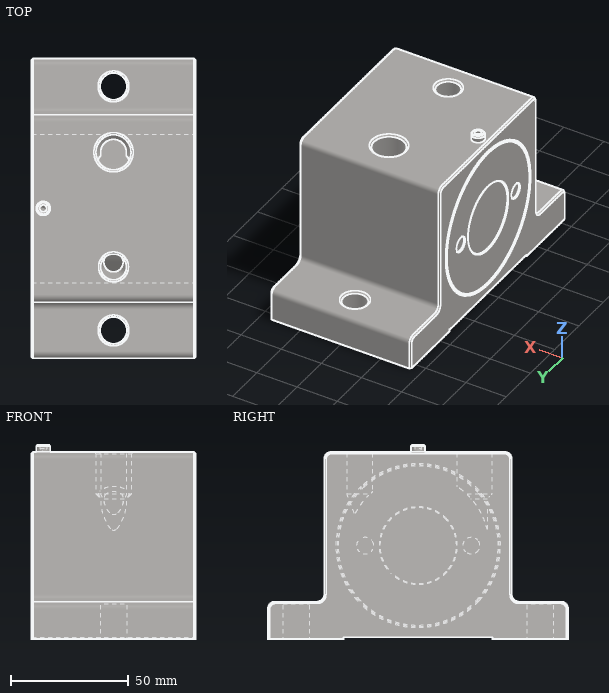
import cadquery as cq
import math

width = 70.0
foot_length = 128
foot_height = 16.0
body_width = 80.0
body_height = 79.9
corner_radius = 3.1
side_chamfer = 0.8
relief_length = 63.4
relief_depth = 0.8

axis_height = body_width / 2
cover_diameter = 69.1
cover_groove_depth = 0.5
plug_diameter = 32.5
plug_rim_diameter = 33.3
plug_recess = 0.4
pin_hole_diameter = 7.2
pin_hole_spacing = 45.3
pin_hole_depth = 0.6

mount_diameter = 11.4
mount_spacing = 104.0
rim_chamfer = 0.9
port_depth = 17.9
rotor_diameter = 60.3
outlet_y = 24.0
outlet_diameter = 15.0
outlet_inner_diameter = 11.0
inlet_y = -25.0
inlet_diameter = 11.0
inlet_taper_angle = 21

total_height = 83.0
nipple_x = -30.0
nipple_diameter = 6.0
nipple_top_diameter = 4.9
nipple_chamfer_height = 0.8
nipple_bore_diameter = 3.0
nipple_bore_depth = 1.5
nipple_root_depth = 0.8

left_x = -width / 2


def block_between(length, bottom, top):
    """Full-width box centred on Y, between two heights."""
    return cq.Workplane("XY", origin=(0, 0, bottom)).box(
        width, length, top - bottom, centered=(True, True, False)
    )


def revolved_z(x, y, profile):
    """Solid of revolution about a vertical axis from (radius, height) points."""
    return (
        cq.Workplane("XZ", origin=(x, y, 0))
        .polyline(profile)
        .close()
        .revolve(360, (0, 0, 0), (0, 1, 0))
    )


def revolved_cover_cut(profile):
    """Solid of revolution about the cover axis from (radius, depth) points."""
    return (
        cq.Workplane("XY", origin=(left_x, 0, axis_height))
        .polyline([(depth, radius) for radius, depth in profile])
        .close()
        .revolve(360, (0, 0, 0), (1, 0, 0))
    )


def make_block():
    block = block_between(foot_length, 0, foot_height).union(
        block_between(body_width, 0, body_height)
    )
    block = block.edges("|X and (not <Z)").fillet(corner_radius)
    block = block.faces("<X or >X").edges("not <Z").chamfer(side_chamfer)
    return block.cut(block_between(relief_length, 0, relief_depth))


def cut_cover(body):
    cover_radius = cover_diameter / 2
    groove = revolved_cover_cut([
        (cover_radius - cover_groove_depth, 0),
        (cover_radius, cover_groove_depth),
        (cover_radius + cover_groove_depth, 0),
    ])
    recess = revolved_cover_cut([
        (0, 0),
        (plug_rim_diameter / 2, 0),
        (plug_diameter / 2, plug_recess),
        (0, plug_recess),
    ])
    pin_holes = (
        cq.Workplane("YZ", origin=(left_x, 0, axis_height))
        .rarray(pin_hole_spacing, 1.3, 2, 1)
        .circle(pin_hole_diameter / 2)
        .extrude(pin_hole_depth)
    )
    return body.cut(groove).cut(recess).cut(pin_holes)


def rim_points(diameter, top):
    """Chamfered mouth of a hole, from its axis out and down to the hole wall."""
    radius = diameter / 2
    return [(0, top), (radius + rim_chamfer, top), (radius, top - rim_chamfer)]


def cut_mounting_holes(body):
    profile = rim_points(mount_diameter, foot_height) + [(mount_diameter / 2, 0), (0, 0)]
    for y in (-mount_spacing / 2, mount_spacing / 2):
        body = body.cut(revolved_z(0, y, profile))
    return body


def cut_ports(body):
    port_floor = body_height - port_depth
    outlet = revolved_z(0, outlet_y, rim_points(outlet_diameter, body_height) + [
        (outlet_diameter / 2, port_floor),
        (outlet_inner_diameter / 2, port_floor - (outlet_diameter - outlet_inner_diameter) / 2),
        (outlet_inner_diameter / 2, axis_height),
        (0, axis_height),
    ])
    inlet_radius = inlet_diameter / 2
    taper_height = inlet_radius / math.tan(math.radians(inlet_taper_angle))
    inlet = revolved_z(0, inlet_y, rim_points(inlet_diameter, body_height) + [
        (inlet_radius, port_floor),
        (0, port_floor - taper_height),
    ])
    rotor = (
        cq.Workplane("YZ", origin=(left_x, 0, axis_height))
        .circle(rotor_diameter / 2)
        .extrude(width)
    )
    return body.cut(outlet.cut(rotor)).cut(inlet.cut(rotor))


def add_nipple(body):
    radius = nipple_diameter / 2
    bore_radius = nipple_bore_diameter / 2
    bore_floor = total_height - nipple_bore_depth
    nipple = revolved_z(nipple_x, 0, [
        (0, body_height - nipple_root_depth),
        (radius, body_height - nipple_root_depth),
        (radius, total_height - nipple_chamfer_height),
        (nipple_top_diameter / 2, total_height),
        (bore_radius, total_height),
        (bore_radius, bore_floor),
        (0, bore_floor - bore_radius),
    ])
    return body.union(nipple)


result = make_block()
result = cut_cover(result)
result = cut_mounting_holes(result)
result = cut_ports(result)
result = add_nipple(result)